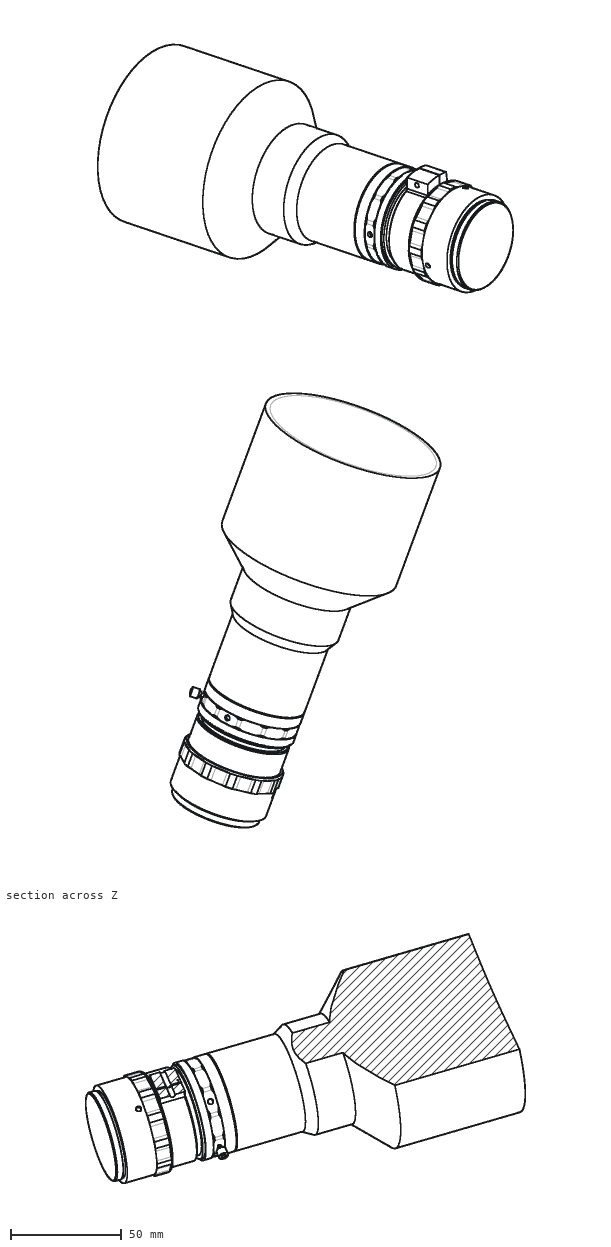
import cadquery as cq
import math

length = 188.9
hood_diameter = 84.0
hood_radius = hood_diameter / 2
hood_end = 59.9
collar_radius = 26.0
collar_end = 93.7
cone_end = hood_end + (hood_radius - collar_radius)
tube_radius = 23.0
collar_slope_end = 98.8

glass_radius = 39.9
glass_depth = 1.0

joint_x = 131.5
joint_width = 0.5
joint_depth = 0.2
lock_ring_start = 137.3
lock_ring_end = 142.8
notch_depth = 0.4
lock_ring_chamfer = 0.8
facet_count = 12
facet_distance = 22.5

tube_end = 146.5
step_radius = 22.1
step_end = 147.7
neck_radius = 20.2

clamp_start = 150.2
clamp_end = 162.5
clamp_chamfer = 0.5
clamp_radius = 22.1
lug_top_radius = 28.0
lug_front_y = -8.7
lug_back_y = 5.1
lug_back_slope = 1.0
lug_root_z = 21.0
foot_size = 0.8
slit_width = 0.4
lug_hole_z = 24.4
lug_hole_diameter = 2.3

grip_start = 163.4
grip_end = 170.2
grip_radius = 23.8
grip_count = 12
grip_floor_radius = 23.2
grip_floor_angle = 14.0
grip_mouth_angle = 22.0
groove_clearance = 1.9

body_end = 184.3
relief_end = 185.5
relief_radius = 20.5
mount_radius = 21.0
mount_chamfer = 0.5

screw_hole_diameter = 2.5
screw_hole_radius = screw_hole_diameter / 2
screw_hole_depth = 1.5
body_hole_x = 172.8
body_hole_angles = (75, 195)
lock_hole_x = (lock_ring_start + lock_ring_end) / 2
lock_hole_angles = (60, 180, 300)

thumb_screw_root = 20.8
thumb_screw_steps = ((0.8, 24.0), (1.5, 25.1), (2.3, 28.5), (1.1, 28.9))


def polar(radius, angle):
    """(y, z) of a point at an angle measured from +Y towards +Z."""
    a = math.radians(angle)
    return radius * math.cos(a), radius * math.sin(a)


def radial_cylinder(x, angle, start, end, radius):
    """Cylinder pointing outwards from the lens axis."""
    y, z = polar(1, angle)
    direction = cq.Vector(0, y, z)
    base = cq.Vector(x, 0, 0) + direction * start
    return cq.Workplane(cq.Solid.makeCylinder(radius, end - start, base, direction))


def barrel():
    """Turned body of the lens, including the rings before they are cut."""
    glass_sphere = (glass_radius**2 + glass_depth**2) / (2 * glass_depth)
    half_radius = glass_radius / 2
    half_depth = glass_depth - glass_sphere + math.sqrt(glass_sphere**2 - half_radius**2)
    ring_edge_radius = tube_radius - notch_depth
    profile = (
        cq.Workplane("XY")
        .moveTo(glass_depth, 0)
        .threePointArc((half_depth, half_radius), (0, glass_radius))
        .lineTo(0, hood_radius)
        .lineTo(hood_end, hood_radius)
        .lineTo(cone_end, collar_radius)
        .lineTo(collar_end, collar_radius)
        .lineTo(collar_slope_end, tube_radius)
        .lineTo(joint_x, tube_radius)
        .lineTo(joint_x + joint_width / 2, tube_radius - joint_depth)
        .lineTo(joint_x + joint_width, tube_radius)
        .lineTo(lock_ring_start, tube_radius)
        .lineTo(lock_ring_start, ring_edge_radius)
        .lineTo(lock_ring_start + lock_ring_chamfer, tube_radius)
        .lineTo(lock_ring_end - lock_ring_chamfer, tube_radius)
        .lineTo(lock_ring_end, ring_edge_radius)
        .lineTo(lock_ring_end, tube_radius)
        .lineTo(tube_end, tube_radius)
        .lineTo(tube_end, step_radius)
        .lineTo(step_end, step_radius)
        .lineTo(step_end, neck_radius)
        .lineTo(clamp_start, neck_radius)
        .lineTo(clamp_start, clamp_radius - clamp_chamfer)
        .lineTo(clamp_start + clamp_chamfer, clamp_radius)
        .lineTo(clamp_end, clamp_radius)
        .lineTo(clamp_end, tube_radius)
        .lineTo(grip_start, grip_radius)
        .lineTo(grip_end, grip_radius)
        .lineTo(grip_end, tube_radius)
        .lineTo(body_end, tube_radius)
        .lineTo(body_end, relief_radius)
        .lineTo(relief_end, relief_radius)
        .lineTo(relief_end, mount_radius)
        .lineTo(length - mount_chamfer, mount_radius)
        .lineTo(length, mount_radius - mount_chamfer)
        .lineTo(length, 0)
        .close()
    )
    return profile.revolve(360, (0, 0, 0), (1, 0, 0))


def facet_cuts():
    """Flats milled around the lock ring."""
    ring_width = lock_ring_end - lock_ring_start
    block = cq.Workplane("XY").box(ring_width, 2 * tube_radius, tube_radius, centered=(False, True, False))
    block = block.translate((lock_ring_start, 0, facet_distance))
    cuts = []
    for i in range(facet_count):
        cuts.append(block.rotate((0, 0, 0), (1, 0, 0), i * 360 / facet_count))
    return cuts


def grip_cuts():
    """Sloped-side grooves between the lands of the grip ring."""
    outside = grip_radius + groove_clearance
    cuts = []
    for i in range(grip_count):
        middle = (i + 0.5) * 360 / grip_count
        groove = (
            cq.Workplane("YZ", origin=(grip_start, 0, 0))
            .moveTo(*polar(grip_floor_radius, middle - grip_floor_angle / 2))
            .lineTo(*polar(grip_floor_radius, middle + grip_floor_angle / 2))
            .lineTo(*polar(grip_radius, middle + grip_mouth_angle / 2))
            .lineTo(*polar(outside, middle + grip_mouth_angle / 2))
            .lineTo(*polar(outside, middle - grip_mouth_angle / 2))
            .lineTo(*polar(grip_radius, middle - grip_mouth_angle / 2))
            .close()
            .extrude(grip_end - grip_start)
        )
        cuts.append(groove)
    return cuts


def clamp_lug():
    """Lug on the clamp ring: round top, sloped back, chamfered foot, slit and screw hole."""
    front_top_z = math.sqrt(lug_top_radius**2 - lug_front_y**2)
    back_top_z = math.sqrt(lug_top_radius**2 - lug_back_y**2)
    foot_y = lug_front_y - foot_size
    foot_z = math.sqrt(clamp_radius**2 - foot_y**2)
    lug = (
        cq.Workplane("YZ", origin=(clamp_start, 0, 0))
        .moveTo(lug_front_y, front_top_z)
        .threePointArc((0, lug_top_radius), (lug_back_y, back_top_z))
        .lineTo(lug_back_y + lug_back_slope, lug_root_z)
        .lineTo(lug_back_y + lug_back_slope, neck_radius)
        .lineTo(0, neck_radius)
        .lineTo(foot_y, foot_z)
        .lineTo(lug_front_y, lug_root_z)
        .close()
        .extrude(clamp_end - clamp_start)
        .faces("<X")
        .chamfer(clamp_chamfer)
    )
    middle_x = (clamp_start + clamp_end) / 2
    slit = cq.Workplane("XY").box(clamp_end - clamp_start, slit_width, lug_top_radius - clamp_radius)
    slit = slit.translate((middle_x, 0, (lug_top_radius + clamp_radius) / 2))
    hole = (
        cq.Workplane("XZ", origin=(middle_x, 0, lug_hole_z))
        .circle(lug_hole_diameter / 2)
        .extrude(clamp_radius, both=True)
    )
    return lug.cut(slit).cut(hole)


def thumb_screw():
    """Stepped thumb screw standing on the +Y facet of the lock ring."""
    screw = cq.Workplane("XY")
    start = thumb_screw_root
    for radius, end in thumb_screw_steps:
        screw = screw.add(radial_cylinder(lock_hole_x, 0, start, end, radius))
        start = end
    return screw.combine()


result = barrel()
for cut in facet_cuts() + grip_cuts():
    result = result.cut(cut)

result = result.union(clamp_lug()).union(thumb_screw())

lock_hole_floor = facet_distance - screw_hole_depth
for angle in lock_hole_angles:
    result = result.cut(radial_cylinder(lock_hole_x, angle, lock_hole_floor, tube_radius, screw_hole_radius))

body_hole_floor = tube_radius - screw_hole_depth
for angle in body_hole_angles:
    result = result.cut(radial_cylinder(body_hole_x, angle, body_hole_floor, grip_radius, screw_hole_radius))